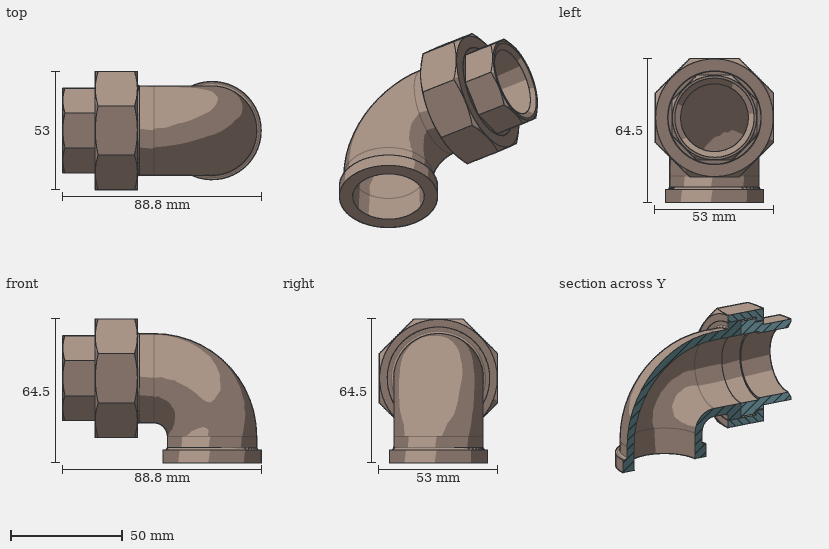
import cadquery as cq
import math


pipe_diameter = 40.0
pipe_bore = 32.0
bend_radius = 26.0
bend_start_x = 40.8
outlet_drop = 38.0
outlet_x = bend_start_x + bend_radius
outlet_collar_diameter = 44.0
outlet_collar_height = 6.0
collar_fillet = 1.0

nut_flats = 53.0
nut_start_x = 14.5
nut_length = 19.0
nut_end_x = nut_start_x + nut_length
nut_mouth_diameter = 41.9
nut_lip_thickness = 4.0
nut_chamfer_diameter = 52.6
thread_diameter = 45.84

tail_flats = 38.0
tail_chamfer_diameter = 37.6
tail_bore = 30.29
tail_lead_in_diameter = 35.4
tail_lead_in_depth = 1.5
tail_bore_end_x = 17.0
tail_collar_diameter = 41.5
tail_flange_diameter = 45.0
tail_flange_thickness = 8.0
tail_flange_start_x = nut_start_x + nut_lip_thickness
joint_x = tail_flange_start_x + tail_flange_thickness

threaded_collar_recess = 0.2
threaded_collar_end_x = nut_end_x - threaded_collar_recess

octagon_sides = 8
corner_chamfer_angle = math.radians(30)


def cylinder_x(diameter, start_x, end_x):
    """Cylinder on the inlet axis."""
    return cq.Workplane("YZ", origin=(start_x, 0, 0)).circle(diameter / 2).extrude(end_x - start_x)


def revolve_x(profile):
    """Solid of revolution about the inlet axis, from a list of (x, radius) points."""
    return cq.Workplane("XY").polyline(profile).close().revolve(360, (0, 0, 0), (1, 0, 0))


def octagon_x(flats, start_x, end_x):
    """Octagonal bar on the inlet axis, with flats facing Y and Z."""
    corner_diameter = flats / math.cos(math.pi / octagon_sides)
    bar = cq.Workplane("YZ", origin=(start_x, 0, 0)).polygon(octagon_sides, corner_diameter)
    bar = bar.extrude(end_x - start_x)
    return bar.rotate((0, 0, 0), (1, 0, 0), 180 / octagon_sides)


def corner_cone(face_diameter, face_x, end_x):
    """Cone that opens from a circle on an end face; keeping what lies inside it chamfers the corners."""
    length = end_x - face_x
    end_radius = face_diameter / 2 + abs(length) / math.tan(corner_chamfer_angle)
    profile = [(face_x, 0), (face_x, face_diameter / 2), (end_x, end_radius), (end_x, 0)]
    return revolve_x(profile)


def make_tailpiece():
    """Octagonal socket whose collar passes through the nut mouth and whose flange the nut clamps."""
    body = octagon_x(tail_flats, 0, nut_start_x)
    body = body.intersect(corner_cone(tail_chamfer_diameter, 0, nut_start_x))
    body = body.union(cylinder_x(tail_collar_diameter, nut_start_x, joint_x))
    body = body.union(cylinder_x(tail_flange_diameter, tail_flange_start_x, joint_x))
    bore_profile = [
        (0, 0),
        (0, tail_lead_in_diameter / 2),
        (tail_lead_in_depth, tail_bore / 2),
        (tail_bore_end_x, tail_bore / 2),
        (tail_bore_end_x, pipe_bore / 2),
        (joint_x, pipe_bore / 2),
        (joint_x, 0),
    ]
    bore = revolve_x(bore_profile)
    return body.cut(bore)


def make_nut():
    """Octagonal nut with chamfered corners, a lip behind its mouth and a wider threaded bore."""
    body = octagon_x(nut_flats, nut_start_x, nut_end_x)
    body = body.intersect(corner_cone(nut_chamfer_diameter, nut_start_x, nut_end_x))
    body = body.intersect(corner_cone(nut_chamfer_diameter, nut_end_x, nut_start_x))
    body = body.cut(cylinder_x(nut_mouth_diameter, nut_start_x, nut_end_x))
    return body.cut(cylinder_x(thread_diameter, tail_flange_start_x, nut_end_x))


def pipe_run(diameter):
    """Straight inlet, quarter bend and straight outlet at one diameter."""
    path = (
        cq.Workplane("XZ")
        .moveTo(joint_x, 0)
        .lineTo(bend_start_x, 0)
        .tangentArcPoint((outlet_x, -bend_radius), relative=False)
        .lineTo(outlet_x, -outlet_drop)
    )
    return cq.Workplane("YZ", origin=(joint_x, 0, 0)).circle(diameter / 2).sweep(path)


def collar(diameter, length):
    """Collar standing on Z = 0, with a concave fillet from its top face up to the pipe wall."""
    wall = pipe_diameter / 2
    arc_middle = collar_fillet * (1 - math.sqrt(0.5))
    top = length + collar_fillet
    return (
        cq.Workplane("XZ")
        .lineTo(diameter / 2, 0)
        .lineTo(diameter / 2, length)
        .lineTo(wall + collar_fillet, length)
        .threePointArc((wall + arc_middle, length + arc_middle), (wall, top))
        .lineTo(0, top)
        .close()
        .revolve(360, (0, 0, 0), (0, 1, 0))
    )


def make_elbow():
    """Hollow quarter bend with a threaded collar inside the nut and a plain collar at the outlet."""
    outlet_collar = collar(outlet_collar_diameter, outlet_collar_height)
    outlet_collar = outlet_collar.translate((outlet_x, 0, -outlet_drop))
    threaded_collar = collar(thread_diameter, threaded_collar_end_x - joint_x)
    threaded_collar = threaded_collar.rotate((0, 0, 0), (0, 1, 0), 90).translate((joint_x, 0, 0))
    body = pipe_run(pipe_diameter).union(outlet_collar).union(threaded_collar)
    return body.cut(pipe_run(pipe_bore))


tailpiece = make_tailpiece()
nut = make_nut()
elbow = make_elbow()

result = cq.Compound.makeCompound([tailpiece.val(), nut.val(), elbow.val()])